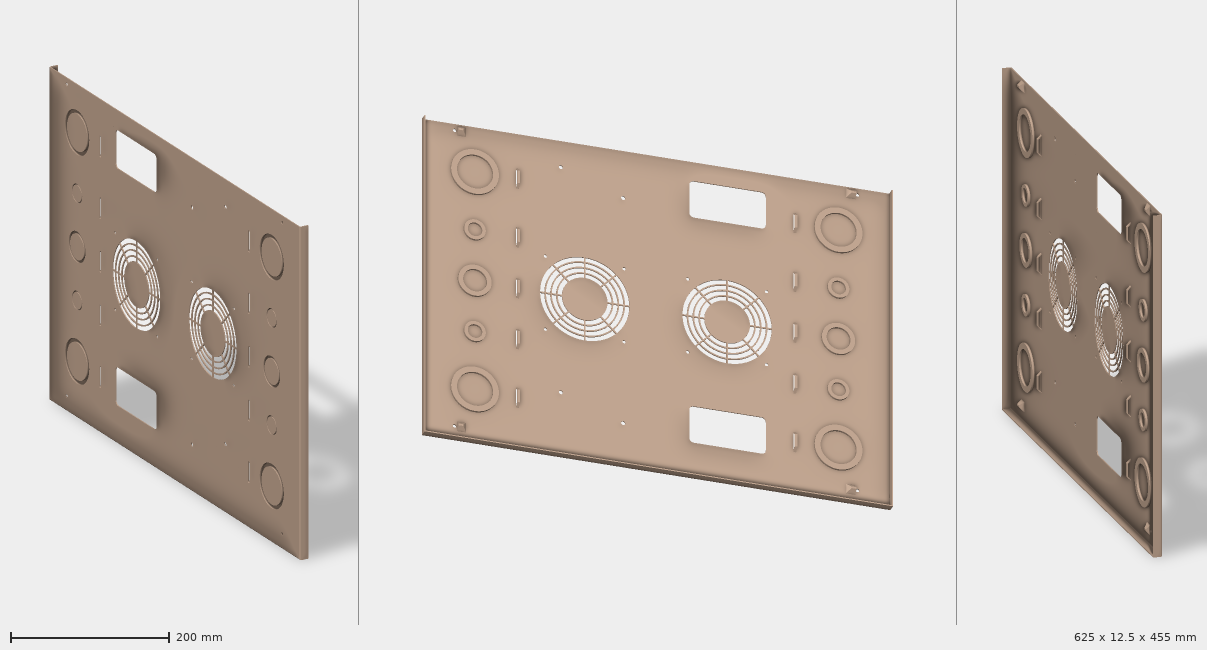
import cadquery as cq

WIDTH = 625.0
DEPTH = 12.5
HEIGHT = 455.0
SHEET = 1.5
BEND_RADIUS = 2.4

PATTERN_Z = 5.95
SIDES = (-1, 1)

FAN_X = 95.0
FAN_HUB_DIAMETER = 60.5
GRILLE_SLOT = 5.95
GRILLE_RING = 2.0
GRILLE_SLOT_COUNT = 4
SPOKE_WIDTH = 2.0
SPOKE_LENGTH = FAN_HUB_DIAMETER + 2 * GRILLE_SLOT_COUNT * (GRILLE_SLOT + GRILLE_RING)
SPOKE_COUNT = 8
FAN_SCREW_OFFSET = 52.5
FAN_SCREW_DIAMETER = 4.5

BEAD_X = 242.5
BEAD_PRESS = 3.0
LARGE_BEAD_OFFSET = 156.0
SMALL_BEAD_OFFSET = 73.0
LARGE_BEAD = (48.0, 64.0, 50.5, 60.5)
MEDIUM_BEAD = (32.0, 44.5, 35.0, 42.0)
SMALL_BEAD = (19.5, 29.0, 22.5, 25.5)

BRIDGE_X = 185.0
BRIDGE_OFFSETS = (-157.5, -73.0, 0.0, 73.0, 157.5)
BRIDGE_LENGTH = 29.0
BRIDGE_WIDTH = 4.0
BRIDGE_PRESS = 5.3

REPEAT_PITCH = 323.5
WINDOW_X = -95.5
LOWER_WINDOW_Z = -149.0
WINDOW_WIDTH = 102.5
WINDOW_HEIGHT = 52.5
WINDOW_RADIUS = 6.0
PLAIN_HOLE_DIAMETER = 5.55
LOWER_PLAIN_HOLES = ((127.0, -133.5), (44.0, -163.5))

CORNER_X = 268.5
CORNER_OFFSET = 212.5
CORNER_HOLE_DIAMETER = 4.75
BLOCK_GAP = 0.5
BLOCK_LENGTH = 12.5
BLOCK_WIDTH = 14.0
BLOCK_RISE = 5.5
BLOCK_SLOPE_RUN = 5.5


def disc(x, z, diameter, front, thickness):
    """Round disc with its axis along Y, starting at Y = front."""
    return cq.Workplane("XZ", origin=(x, front, z)).circle(diameter / 2).extrude(-thickness)


def ring(x, z, inner, outer, front, thickness):
    return disc(x, z, outer, front, thickness).cut(disc(x, z, inner, front, thickness))


def through_hole(x, z, diameter):
    return disc(x, z, diameter, 0, SHEET)


def make_tray():
    """Panel with bent side and bottom flanges, open at the top and the back."""
    outer = cq.Workplane("XY").box(WIDTH, DEPTH, HEIGHT).translate((0, DEPTH / 2, 0))
    outer = outer.edges("<Y and (not >Z)").fillet(BEND_RADIUS)
    inner = (
        cq.Workplane("XY")
        .box(WIDTH - 2 * SHEET, DEPTH, HEIGHT)
        .translate((0, DEPTH / 2 + SHEET, SHEET))
        .edges("<Y and (not >Z)")
        .fillet(BEND_RADIUS - SHEET)
    )
    return outer.cut(inner)


def spoke_bars(x):
    """Straight bars through one fan centre; each bar makes two opposite spokes."""
    bar = cq.Workplane("XY").box(SPOKE_LENGTH, DEPTH, SPOKE_WIDTH)
    angles = [index * 360 / SPOKE_COUNT for index in range(SPOKE_COUNT // 2)]
    return [bar.rotate((0, 0, 0), (0, 1, 0), angle).translate((x, 0, PATTERN_Z)).val() for angle in angles]


def grille_openings(x):
    """The annular slots of one fan grille, interrupted by the spokes."""
    bars = spoke_bars(x)
    openings = []
    inner = FAN_HUB_DIAMETER
    for _ in range(GRILLE_SLOT_COUNT):
        outer = inner + 2 * GRILLE_SLOT
        slot = ring(x, PATTERN_Z, inner, outer, 0, SHEET)
        openings.append(slot.val().cut(*bars))
        inner = outer + 2 * GRILLE_RING
    return openings


def add_bead(panel, x, z, diameters):
    back_inner, back_outer, groove_inner, groove_outer = diameters
    panel = panel.union(ring(x, z, back_inner, back_outer, 0, SHEET + BEAD_PRESS))
    return panel.cut(ring(x, z, groove_inner, groove_outer, 0, BEAD_PRESS))


def bridge_profile(x, z, front):
    """Trapezoid with 45 degree ends, standing on the plane Y = front."""
    half_base = BRIDGE_LENGTH / 2
    half_top = half_base - BRIDGE_PRESS
    back = front + BRIDGE_PRESS
    return (
        cq.Workplane("YZ", origin=(x - BRIDGE_WIDTH / 2, 0, z))
        .polyline([(front, -half_base), (back, -half_top), (back, half_top), (front, half_base)])
        .close()
        .extrude(BRIDGE_WIDTH)
    )


def add_bridge(panel, x, z):
    return panel.union(bridge_profile(x, z, SHEET)).cut(bridge_profile(x, z, 0))


def window(z):
    return (
        cq.Workplane("XZ", origin=(WINDOW_X, 0, z))
        .rect(WINDOW_WIDTH, WINDOW_HEIGHT)
        .extrude(-SHEET)
        .edges("|Y")
        .fillet(WINDOW_RADIUS)
    )


def make_panel():
    panel = make_tray()
    for side in SIDES:
        for upper in SIDES:
            panel = add_bead(panel, side * BEAD_X, PATTERN_Z + upper * LARGE_BEAD_OFFSET, LARGE_BEAD)
            panel = add_bead(panel, side * BEAD_X, PATTERN_Z + upper * SMALL_BEAD_OFFSET, SMALL_BEAD)
        panel = add_bead(panel, side * BEAD_X, PATTERN_Z, MEDIUM_BEAD)
        for offset in BRIDGE_OFFSETS:
            panel = add_bridge(panel, side * BRIDGE_X, PATTERN_Z + offset)

    cuts = []
    for side in SIDES:
        cuts += grille_openings(side * FAN_X)
        for upper in SIDES:
            corner_z = PATTERN_Z + upper * CORNER_OFFSET
            cuts.append(through_hole(side * CORNER_X, corner_z, CORNER_HOLE_DIAMETER).val())
            screw_z = PATTERN_Z + upper * FAN_SCREW_OFFSET
            for fan_side in SIDES:
                screw_x = side * FAN_X + fan_side * FAN_SCREW_OFFSET
                cuts.append(through_hole(screw_x, screw_z, FAN_SCREW_DIAMETER).val())
    for lift in (0, REPEAT_PITCH):
        cuts.append(window(LOWER_WINDOW_Z + lift).val())
        for x, z in LOWER_PLAIN_HOLES:
            cuts.append(through_hole(x, z + lift, PLAIN_HOLE_DIAMETER).val())
    return cq.Workplane(panel.val().cut(*cuts))


def make_corner_block(side, z):
    """Block on the back of the panel: upright face beside the hole, sloped on its other three sides."""
    half_width = BLOCK_WIDTH / 2
    length_profile = [
        (0, 0),
        (BLOCK_LENGTH, 0),
        (BLOCK_LENGTH - BLOCK_SLOPE_RUN, BLOCK_RISE),
        (0, BLOCK_RISE),
    ]
    width_profile = [
        (0, -half_width),
        (BLOCK_RISE, BLOCK_SLOPE_RUN - half_width),
        (BLOCK_RISE, half_width - BLOCK_SLOPE_RUN),
        (0, half_width),
    ]
    block = cq.Workplane("XY").polyline(length_profile).close().extrude(half_width, both=True)
    block = block.intersect(cq.Workplane("YZ").polyline(width_profile).close().extrude(BLOCK_LENGTH))
    if side > 0:
        block = block.mirror("YZ")
    upright_x = side * (CORNER_X - CORNER_HOLE_DIAMETER / 2 - BLOCK_GAP)
    return block.translate((upright_x, SHEET, z))


panel = make_panel()
corner_blocks = [
    make_corner_block(side, PATTERN_Z + upper * CORNER_OFFSET) for side in SIDES for upper in SIDES
]

result = cq.Compound.makeCompound([panel.val(), *[block.val() for block in corner_blocks]])